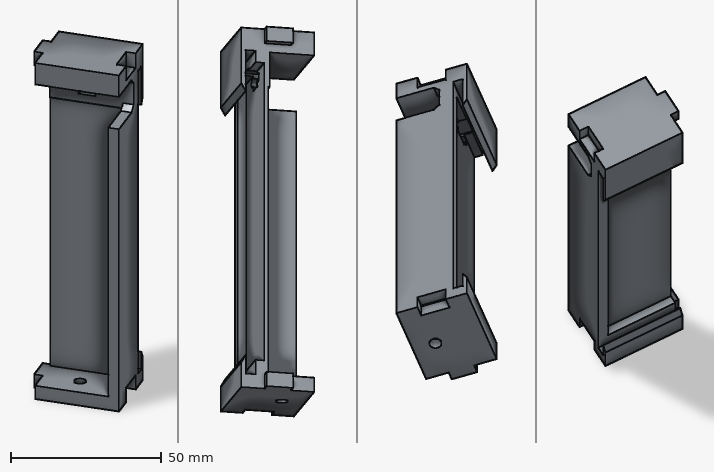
import cadquery as cq

height = 125.0
depth = 25.0
tab_length = 3.0
body_width = 32.5 - tab_length

floor_thickness = 5.0
top_thickness = 8.0
wall_thickness = 3.8
bay_depth = 15.8
step_depth = 15.2
window_height = 12.0
corner_size = 2.0

slot_front = 20.1
slot_back = 23.5
slot_bottom = 4.8
slot_top_margin = 7.8
upper_hook_drop = 22.0
lower_hook_rise = 11.2
hook_bevel = 2.6

relief_front = 17.1
relief_bottom = 9.8
relief_top_margin = 11.8

tab_width = 9.0
tab_height = 5.0
notch_width = 10.0
top_notch_length = 3.4
bottom_notch_length = wall_thickness
notch_height = 5.4

keyhole_x = 13.1
keyhole_length = 10.6
keyhole_slot_width = 3.0
keyhole_square = 6.0
floor_hole_diameter = 4.0
floor_hole_x = 13.1
floor_hole_y = 8.0

window_top = height - top_thickness
window_bottom = window_top - window_height
inner_width = body_width - wall_thickness
middle_y = depth / 2


def box(x_range, y_range, z_range):
    """Box spanning the given (low, high) ranges."""
    corner = (x_range[0], y_range[0], z_range[0])
    size = [high - low for low, high in (x_range, y_range, z_range)]
    return cq.Workplane("XY").box(*size, centered=False).translate(corner)


def side_prism(points, length):
    """Prism along +X from X = 0 with a (Y, Z) outline."""
    return cq.Workplane("YZ").polyline(points).close().extrude(length)


def front_bay():
    """Open bay inside the side wall, with a shallow step in the plate below the window."""
    lower = box((0, inner_width), (0, bay_depth), (floor_thickness, window_bottom))
    upper = box((0, inner_width), (0, step_depth), (window_bottom, window_top))
    return lower.union(upper)


def wall_window():
    """Gap in the side wall under the top block, bevelled where it meets the plate."""
    return side_prism(
        [
            (0, window_bottom),
            (step_depth - corner_size, window_bottom),
            (step_depth, window_bottom + corner_size),
            (step_depth, window_top - corner_size),
            (step_depth - corner_size, window_top),
            (0, window_top),
        ],
        body_width,
    )


def rear_slot():
    """Rear slot and its opening between the bevelled hook tips."""
    slot_top = height - slot_top_margin
    upper_tip = height - upper_hook_drop
    return side_prism(
        [
            (slot_front, slot_bottom),
            (slot_back, slot_bottom),
            (slot_back, lower_hook_rise),
            (depth, lower_hook_rise - hook_bevel),
            (depth, upper_tip + hook_bevel),
            (slot_back, upper_tip),
            (slot_back, slot_top),
            (slot_front, slot_top),
        ],
        body_width,
    )


def keyhole():
    """Round-ended slot crossed by a square, through the plate."""
    center_z = (window_top + window_bottom) / 2
    plane = cq.Workplane("XZ", origin=(keyhole_x, slot_front, center_z))
    plate_reach = slot_front - step_depth
    slot = plane.slot2D(keyhole_length, keyhole_slot_width).extrude(plate_reach)
    square = plane.rect(keyhole_square, keyhole_square).extrude(plate_reach)
    return slot.union(square)


def centered_block(x_range, width, z_range):
    """Block centred across the depth of the body."""
    return box(x_range, (middle_y - width / 2, middle_y + width / 2), z_range)


result = box((0, body_width), (0, depth), (0, height))
result = result.cut(front_bay()).cut(wall_window()).cut(rear_slot())

relief = box((0, inner_width), (relief_front, slot_front), (relief_bottom, height - relief_top_margin))
result = result.cut(relief).cut(keyhole())

floor_hole = (
    cq.Workplane("XY")
    .center(floor_hole_x, floor_hole_y)
    .circle(floor_hole_diameter / 2)
    .extrude(floor_thickness)
)
result = result.cut(floor_hole)

for tab_bottom in (0, height - tab_height):
    result = result.union(centered_block((-tab_length, 0), tab_width, (tab_bottom, tab_bottom + tab_height)))

notches = ((0, bottom_notch_length), (height - notch_height, top_notch_length))
for notch_bottom, notch_length in notches:
    notch_x = (body_width - notch_length, body_width)
    result = result.cut(centered_block(notch_x, notch_width, (notch_bottom, notch_bottom + notch_height)))